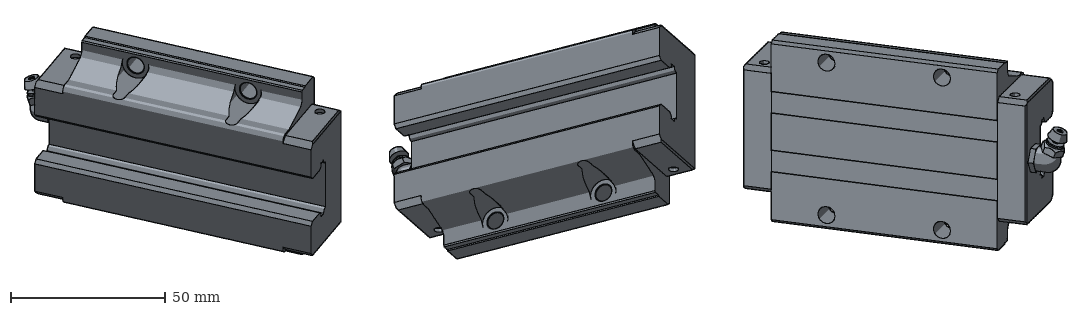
import cadquery as cq
import math


overall_length = 109.6
height = 25.4
carriage_length = 98.0
block_length = 78.0
flange_half_width = 63.0 / 2
small = 0.01

body_half_width = 22.2
flange_seat_y = height - 10.0
flange_step = 0.3
flange_step_y = height - 7.3
rim_bevel_height = 0.5
rim_bevel_depth = 0.2
back_chamfer = 1.0
web_slope = math.radians(19)
web_root_z = 25.9
web_root_radius = 2.7
web_foot_radius = 3.3
body_corner_radius = 2.0
relief_depth = 0.3
relief_inner_z = 6.5
relief_outer_z = 13.9

channel_depth = 11.8
channel_half_width = 8.1
channel_floor_half_width = 8.4
track_half_width = 10.1
track_near_y = 8.2
track_far_y = 10.2
track_near_radius = 1.8
track_far_radius = 1.5
channel_mouth_chamfer = 1.2

screw_spacing_x = 39.9
screw_spacing_z = 52.9
screw_hole_diameter = 5.8
screw_hole_chamfer = 0.2
screw_head_diameter = 9.4

cap_length = (carriage_length - block_length) / 2
cap_half_width = 43.3 / 2
cap_back_y = height - 0.38
cap_front_chamfer = 2.0
cap_back_chamfer = 1.5
cap_rim_length = 0.4
cap_rim_width = 0.7
cap_hole_x = 43.3
cap_hole_y = height - 5.3
cap_hole_diameter = 3.2
cap_hole_depth = 1.3

nipple_y = height - 6.6
base_hex_flats = 8.2
base_hex_length = 1.9
elbow_radius = base_hex_flats / 2
nipple_tilt = math.radians(21)
nut_flats = 6.9
nut_bottom = 3.2
nut_shoulder = 5.0
collar_bottom = 6.1
collar_bevel = 6.7
collar_top = 7.0
head_bottom = 8.5
head_top = 11.3
collar_radius = 3.1
collar_top_radius = 2.8
neck_radius = 1.1
head_bottom_radius = 3.3
head_top_radius = 2.4
valve_radius = 1.0
valve_recess = 0.7


def extrude_x(points, length):
    """Extrude a closed (y, z) outline along X, centred on X = 0."""
    return cq.Workplane("YZ").polyline(points).close().extrude(length / 2, both=True)


def round_edge(solid, y, z, radius):
    """Fillet the two lengthwise edges at (y, +z) and (y, -z)."""
    for side in (1, -1):
        box = cq.selectors.BoxSelector(
            (-carriage_length, y - small, side * z - small),
            (carriage_length, y + small, side * z + small),
        )
        solid = solid.edges("|X").edges(box).fillet(radius)
    return solid


def mirrored(points):
    """Close a half outline in (y, z) with its mirror image across Z = 0."""
    return points + [(y, -z) for y, z in reversed(points)]


def make_block():
    web_foot_y = flange_seat_y - (web_root_z - body_half_width) / math.tan(web_slope)
    rim_z = flange_half_width - flange_step
    half_outline = [
        (0, body_half_width),
        (web_foot_y, body_half_width),
        (flange_seat_y, web_root_z),
        (flange_seat_y, rim_z - rim_bevel_height),
        (flange_seat_y + rim_bevel_depth, rim_z),
        (flange_step_y - flange_step, rim_z),
        (flange_step_y, flange_half_width),
        (height - back_chamfer, flange_half_width),
        (height, flange_half_width - back_chamfer),
        (height, relief_outer_z),
        (height - relief_depth, relief_outer_z),
        (height - relief_depth, relief_inner_z),
        (height, relief_inner_z),
    ]
    block = extrude_x(mirrored(half_outline), block_length)
    block = round_edge(block, flange_seat_y, web_root_z, web_root_radius)
    block = round_edge(block, web_foot_y, body_half_width, web_foot_radius)
    return round_edge(block, 0, body_half_width, body_corner_radius)


def cut_screw_holes(block):
    seats = cq.Workplane("XZ").rarray(screw_spacing_x, screw_spacing_z, 2, 2)
    head_clearance = seats.circle(screw_head_diameter / 2).extrude(-flange_seat_y)
    holes = seats.circle(screw_hole_diameter / 2).extrude(-height)
    block = block.cut(head_clearance).cut(holes)
    seat_plane = cq.selectors.BoxSelector(
        (-block_length, flange_seat_y - small, -flange_half_width),
        (block_length, flange_seat_y + small, flange_half_width),
    )
    hole_rims = cq.selectors.RadiusNthSelector(0)
    return block.edges(seat_plane).edges("%CIRCLE").edges(hole_rims).chamfer(screw_hole_chamfer)


def make_end_cap():
    """End cap at the -X end."""
    half_outline = [
        (0, cap_half_width - cap_front_chamfer),
        (cap_front_chamfer, cap_half_width),
        (cap_back_y - cap_back_chamfer, cap_half_width),
        (cap_back_y, cap_half_width - cap_back_chamfer),
    ]
    cap = extrude_x(mirrored(half_outline), cap_length)
    cap = cap.translate((-(carriage_length - cap_length) / 2, 0, 0))

    end_x = -carriage_length / 2
    side_bevel = [
        (end_x, cap_half_width - cap_rim_width),
        (end_x, cap_half_width),
        (end_x + cap_rim_length, cap_half_width),
    ]
    side_cutter = cq.Workplane("XZ").polyline(side_bevel).close().extrude(-height)
    back_bevel = [
        (end_x, cap_back_y - cap_rim_width),
        (end_x, cap_back_y),
        (end_x + cap_rim_length, cap_back_y),
    ]
    back_cutter = cq.Workplane("XY").polyline(back_bevel).close().extrude(cap_half_width, both=True)
    cap = cap.cut(side_cutter).cut(side_cutter.mirror("XY")).cut(back_cutter)

    hole = (
        cq.Workplane("XY", origin=(-cap_hole_x, cap_hole_y, cap_half_width))
        .circle(cap_hole_diameter / 2)
        .extrude(-cap_hole_depth)
    )
    return cap.cut(hole).cut(hole.mirror("XY"))


def make_channel():
    half_outline = [
        (0, channel_half_width + channel_mouth_chamfer),
        (channel_mouth_chamfer, channel_half_width),
        (track_near_y, channel_half_width),
        (track_near_y, track_half_width),
        (track_far_y, track_half_width),
        (track_far_y, channel_floor_half_width),
        (channel_depth, channel_floor_half_width),
    ]
    channel = extrude_x(mirrored(half_outline), carriage_length)
    channel = round_edge(channel, track_near_y, channel_half_width, track_near_radius)
    return round_edge(channel, track_far_y, channel_floor_half_width, track_far_radius)


def make_nipple_head():
    """Upright nipple with the elbow centre at the origin and its axis along Z."""
    nut_corner_radius = nut_flats / math.sqrt(3)
    turned_profile = [
        (0, nut_bottom),
        (nut_corner_radius, nut_bottom),
        (nut_corner_radius, nut_shoulder),
        (collar_radius, collar_bottom),
        (collar_radius, collar_bevel),
        (collar_top_radius, collar_top),
        (neck_radius, collar_top),
        (neck_radius, head_bottom),
        (head_bottom_radius, head_bottom),
        (head_top_radius, head_top),
        (0, head_top),
    ]
    turned = cq.Workplane("XZ").polyline(turned_profile).close().revolve(360, (0, 0), (0, 1))
    nut = cq.Workplane("XY").polygon(6, 2 * nut_corner_radius).extrude(head_top)
    head = turned.intersect(nut)

    recess = (
        cq.Workplane("XY", origin=(0, 0, head_top - valve_recess))
        .circle(valve_radius)
        .extrude(valve_recess)
    )
    ball = cq.Workplane("XY", origin=(0, 0, head_top - valve_radius)).sphere(valve_radius)
    return head.cut(recess).union(ball)


def make_nipple():
    end_x = -carriage_length / 2
    base_end_x = end_x - base_hex_length
    tip_reach = head_top * math.sin(nipple_tilt) + head_top_radius * math.cos(nipple_tilt)
    elbow_x = carriage_length / 2 - overall_length + tip_reach
    base = (
        cq.Workplane("YZ", origin=(base_end_x, nipple_y, 0))
        .polygon(6, base_hex_flats * 2 / math.sqrt(3))
        .extrude(base_hex_length)
    )
    arm = (
        cq.Workplane("YZ", origin=(elbow_x, nipple_y, 0))
        .circle(elbow_radius)
        .extrude(base_end_x - elbow_x)
    )
    elbow_center = (elbow_x, nipple_y, 0)
    elbow = cq.Workplane("XY", origin=elbow_center).sphere(elbow_radius)
    head = make_nipple_head().rotate((0, 0, 0), (0, 1, 0), -math.degrees(nipple_tilt))
    head = head.translate(elbow_center)
    return base.union(arm).union(elbow).union(head)


end_cap = make_end_cap()
carriage = cut_screw_holes(make_block()).union(end_cap).union(end_cap.mirror("YZ"))
result = carriage.cut(make_channel()).union(make_nipple())